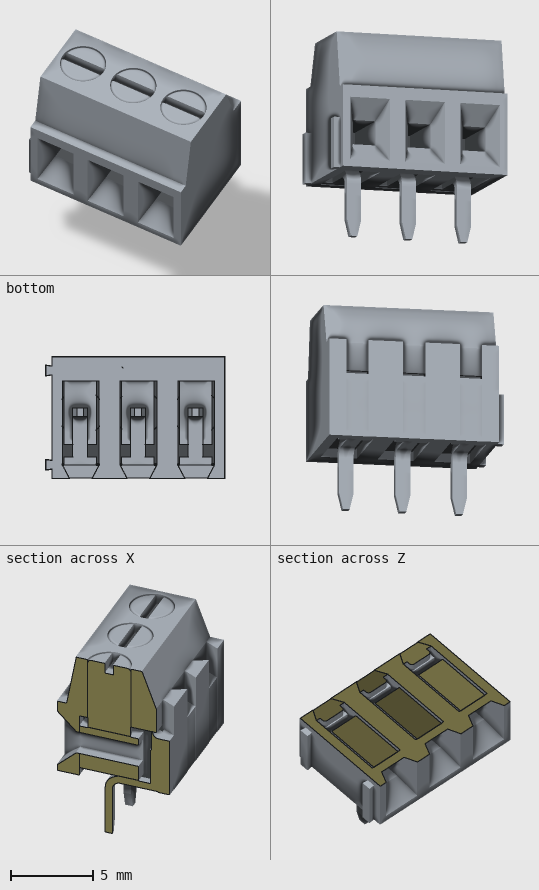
import cadquery as cq
import math


COS_45 = math.sqrt(0.5)

POLE_COUNT = 3
PITCH = 3.5
HOUSING_LENGTH = POLE_COUNT * PITCH
HOUSING_HEIGHT = 8.5
BACK_Y = 4.0
FRONT_Y = -3.4
BACK_LEDGE_Z = 6.0
BACK_LEDGE_DEPTH = 0.9
BACK_TOP_INSET = 1.84
BACK_LEDGE_Y = BACK_Y - BACK_LEDGE_DEPTH
BACK_TOP_Y = BACK_Y - BACK_TOP_INSET
FRONT_LEDGE_Z = 5.03
FRONT_LEDGE_DEPTH = 0.6
FRONT_TOP_INSET = 1.23
FRONT_LEDGE_Y = FRONT_Y + FRONT_LEDGE_DEPTH
FRONT_TOP_Y = FRONT_Y + FRONT_TOP_INSET
POLE_CENTRES = [(i - (POLE_COUNT - 1) / 2) * PITCH for i in range(POLE_COUNT)]

RIB_DEPTH = 0.39
RIB_HEIGHT = 3.1
RIB_OUTER_WIDTH = 0.66
RIB_ROOT_WIDTH = 0.55
RIB_INSET = 0.84

FUNNEL_WIDTH = 2.5
FUNNEL_BOTTOM_Z = 0.44
FUNNEL_TOP_Z = 4.28
FUNNEL_DEPTH = 1.25
PASSAGE_WIDTH = 1.44
PASSAGE_BOTTOM_Z = 1.6
PASSAGE_TOP_Z = 3.09
PASSAGE_LENGTH = 0.22

SCREW_DIAMETER = 2.8
SCREW_RIM_FILLET = 0.22
SCREW_SLOT_WIDTH = 0.55
SCREW_SLOT_DEPTH = 0.7

CAGE_WIDTH = 1.98
CAGE_ROOF = 0.5
CAGE_FRONT_Y = FRONT_Y + FUNNEL_DEPTH + PASSAGE_LENGTH
CAGE_BACK_Y = -CAGE_FRONT_Y
CAGE_TOP_Z = PASSAGE_TOP_Z + CAGE_ROOF

CONTACT_OFFSET = -0.04
CONTACT_THICKNESS = 0.5
PIN_WIDTH = 0.9
PIN_TIP_WIDTH = 0.41
PIN_TAPER = 1.01
PIN_END_Z = -3.7
PIN_FRONT_Y = -0.28
BEND_START_Z = -0.45
BEND_INNER_RADIUS = 0.5
BEND_OUTER_RADIUS = BEND_INNER_RADIUS + CONTACT_THICKNESS
BEND_CENTRE_Y = PIN_FRONT_Y + BEND_OUTER_RADIUS
PLATE_BOTTOM_Z = BEND_START_Z + BEND_INNER_RADIUS
PLATE_TOP_Z = PLATE_BOTTOM_Z + CONTACT_THICKNESS
RISER_WIDTH = 1.98
RISER_TOP_Z = 2.96
TONGUE_WIDTH = 1.61
TONGUE_SETBACK = 0.07
TONGUE_CORNER_FILLET = 0.22
TONGUE_ROOT_RADIUS = 0.38
TONGUE_ROOT_OVERLAP = 0.05
PLUG_TOP_Z = 3.9
TONGUE_TOP_Z = PLUG_TOP_Z + TONGUE_ROOT_RADIUS
PLUG_SETBACK = 0.02
PLUG_BACK_Y = BACK_Y - PLUG_SETBACK

CHAMBER_WIDTH = 2.22
CHAMBER_BACK_Y = 3.18
CHAMBER_TOP_Z = TONGUE_TOP_Z
DOVETAIL_BACK_WIDTH = 1.37
DOVETAIL_FLARE = (CHAMBER_WIDTH - DOVETAIL_BACK_WIDTH) / (BACK_Y - CHAMBER_BACK_Y)
RISER_FRONT_Y = CHAMBER_BACK_Y - CONTACT_THICKNESS


def box(x_middle, width, y_front, y_back, z_bottom, z_top):
    """A block placed by its middle in X and its limits in Y and Z."""
    corner = cq.Vector(x_middle - width / 2, y_front, z_bottom)
    return cq.Workplane(cq.Solid.makeBox(width, y_back - y_front, z_top - z_bottom, corner))


def trapezoid(x_middle, front_width, back_width, y_front, y_back, height):
    """An upright block standing on Z = 0 whose width changes along Y."""
    return (
        cq.Workplane("XY")
        .polyline([
            (x_middle - front_width / 2, y_front),
            (x_middle + front_width / 2, y_front),
            (x_middle + back_width / 2, y_back),
            (x_middle - back_width / 2, y_back),
        ])
        .close()
        .extrude(height)
    )


def housing_block():
    """The stepped and sloped profile, extruded along the row."""
    return (
        cq.Workplane("YZ")
        .polyline([
            (FRONT_Y, 0),
            (BACK_Y, 0),
            (BACK_Y, BACK_LEDGE_Z),
            (BACK_LEDGE_Y, BACK_LEDGE_Z),
            (BACK_TOP_Y, HOUSING_HEIGHT),
            (FRONT_TOP_Y, HOUSING_HEIGHT),
            (FRONT_LEDGE_Y, FRONT_LEDGE_Z),
            (FRONT_Y, FRONT_LEDGE_Z),
        ])
        .close()
        .extrude(HOUSING_LENGTH / 2, both=True)
    )


def rib(y_middle):
    """A dovetail rib on the -X end, wider at its outer face."""
    root_x = -HOUSING_LENGTH / 2
    outer_x = root_x - RIB_DEPTH
    return (
        cq.Workplane("XY")
        .polyline([
            (root_x, y_middle - RIB_ROOT_WIDTH / 2),
            (root_x, y_middle + RIB_ROOT_WIDTH / 2),
            (outer_x, y_middle + RIB_OUTER_WIDTH / 2),
            (outer_x, y_middle - RIB_OUTER_WIDTH / 2),
        ])
        .close()
        .extrude(RIB_HEIGHT)
    )


def wire_entry(x):
    """The funnel narrowing inwards and the passage from it to the cage."""
    funnel_middle_z = (FUNNEL_BOTTOM_Z + FUNNEL_TOP_Z) / 2
    passage_middle_z = (PASSAGE_BOTTOM_Z + PASSAGE_TOP_Z) / 2
    funnel = (
        cq.Workplane("XZ", origin=(x, FRONT_Y, funnel_middle_z))
        .rect(FUNNEL_WIDTH, FUNNEL_TOP_Z - FUNNEL_BOTTOM_Z)
        .workplane(offset=-FUNNEL_DEPTH)
        .center(0, passage_middle_z - funnel_middle_z)
        .rect(PASSAGE_WIDTH, PASSAGE_TOP_Z - PASSAGE_BOTTOM_Z)
        .loft(ruled=True)
    )
    passage_front_y = FRONT_Y + FUNNEL_DEPTH
    passage = box(x, PASSAGE_WIDTH, passage_front_y, CAGE_FRONT_Y, PASSAGE_BOTTOM_Z, PASSAGE_TOP_Z)
    return funnel.union(passage)


def screw_cylinder(x):
    """The full cylinder of a screw, from the cage roof to the top of the housing."""
    return (
        cq.Workplane("XY", origin=(x, 0, CAGE_TOP_Z))
        .circle(SCREW_DIAMETER / 2)
        .extrude(HOUSING_HEIGHT - CAGE_TOP_Z)
    )


def make_housing():
    housing = housing_block()
    for y in (FRONT_Y + RIB_INSET, BACK_Y - RIB_INSET):
        housing = housing.union(rib(y))
    for x in POLE_CENTRES:
        chamber = box(x, CHAMBER_WIDTH, CAGE_FRONT_Y, CHAMBER_BACK_Y, 0, CHAMBER_TOP_Z)
        ledge_gap = box(x, CHAMBER_WIDTH, BACK_LEDGE_Y, CHAMBER_BACK_Y, 0, BACK_LEDGE_Z)
        dovetail = trapezoid(
            x, CHAMBER_WIDTH, DOVETAIL_BACK_WIDTH, CHAMBER_BACK_Y, BACK_Y, BACK_LEDGE_Z
        )
        housing = housing.cut(chamber).cut(ledge_gap).cut(dovetail)
        housing = housing.cut(wire_entry(x)).cut(screw_cylinder(x))
    return housing


def make_screw(x):
    """A round screw with a rounded rim and a driver slot along X."""
    slot_bottom_z = HOUSING_HEIGHT - SCREW_SLOT_DEPTH
    slot = box(
        x, SCREW_DIAMETER, -SCREW_SLOT_WIDTH / 2, SCREW_SLOT_WIDTH / 2, slot_bottom_z, HOUSING_HEIGHT
    )
    return screw_cylinder(x).faces(">Z").edges().fillet(SCREW_RIM_FILLET).cut(slot)


def make_cage(x):
    """A clamp cage, open at front and back, that rests on the contact plate."""
    x_middle = x + CONTACT_OFFSET
    block = box(x_middle, CAGE_WIDTH, CAGE_FRONT_Y, CAGE_BACK_Y, PLATE_TOP_Z, CAGE_TOP_Z)
    window = box(x, PASSAGE_WIDTH, CAGE_FRONT_Y, CAGE_BACK_Y, PASSAGE_BOTTOM_Z, PASSAGE_TOP_Z)
    return block.cut(window)


def contact_strip(x):
    """The pin and the plate it bends into, cut to the pin width with a tapered tip."""
    pin_back_y = PIN_FRONT_Y + CONTACT_THICKNESS
    side_profile = (
        cq.Workplane("YZ", origin=(x, 0, 0))
        .moveTo(PIN_FRONT_Y, PIN_END_Z)
        .lineTo(PIN_FRONT_Y, BEND_START_Z)
        .threePointArc(
            (BEND_CENTRE_Y - BEND_OUTER_RADIUS * COS_45, BEND_START_Z + BEND_OUTER_RADIUS * COS_45),
            (BEND_CENTRE_Y, PLATE_TOP_Z),
        )
        .lineTo(CHAMBER_BACK_Y, PLATE_TOP_Z)
        .lineTo(CHAMBER_BACK_Y, PLATE_BOTTOM_Z)
        .lineTo(BEND_CENTRE_Y, PLATE_BOTTOM_Z)
        .threePointArc(
            (BEND_CENTRE_Y - BEND_INNER_RADIUS * COS_45, BEND_START_Z + BEND_INNER_RADIUS * COS_45),
            (pin_back_y, BEND_START_Z),
        )
        .lineTo(pin_back_y, PIN_END_Z)
        .close()
        .extrude(PIN_WIDTH / 2, both=True)
    )
    taper_start_z = PIN_END_Z + PIN_TAPER
    front_outline = (
        cq.Workplane("XZ", origin=(x, PIN_FRONT_Y, 0))
        .polyline([
            (-PIN_TIP_WIDTH / 2, PIN_END_Z),
            (PIN_TIP_WIDTH / 2, PIN_END_Z),
            (PIN_WIDTH / 2, taper_start_z),
            (PIN_WIDTH / 2, PLATE_TOP_Z),
            (-PIN_WIDTH / 2, PLATE_TOP_Z),
            (-PIN_WIDTH / 2, taper_start_z),
        ])
        .close()
        .extrude(PIN_FRONT_Y - CHAMBER_BACK_Y)
    )
    return side_profile.intersect(front_outline)


def contact_tongue(x):
    """The tongue on the riser: round front corners, and a back that curves into the plug top."""
    front_y = RISER_FRONT_Y + TONGUE_SETBACK
    root_y = CHAMBER_BACK_Y + TONGUE_ROOT_OVERLAP
    top_back_y = root_y - TONGUE_ROOT_RADIUS
    tongue = (
        cq.Workplane("YZ", origin=(x, 0, 0))
        .moveTo(front_y, RISER_TOP_Z)
        .lineTo(root_y, RISER_TOP_Z)
        .lineTo(root_y, PLUG_TOP_Z)
        .threePointArc(
            (
                root_y - TONGUE_ROOT_RADIUS * COS_45,
                TONGUE_TOP_Z - TONGUE_ROOT_RADIUS * COS_45,
            ),
            (top_back_y, TONGUE_TOP_Z),
        )
        .lineTo(front_y, TONGUE_TOP_Z)
        .close()
        .extrude(TONGUE_WIDTH / 2, both=True)
    )
    return tongue.faces("<Y").edges("|Z").fillet(TONGUE_CORNER_FILLET)


def contact_plug(pole_x):
    """The plug that fits the dovetail slot, just short of the back face."""
    back_width = DOVETAIL_BACK_WIDTH + DOVETAIL_FLARE * PLUG_SETBACK
    return trapezoid(pole_x, CHAMBER_WIDTH, back_width, CHAMBER_BACK_Y, PLUG_BACK_Y, PLUG_TOP_Z)


def make_contact(pole_x):
    x = pole_x + CONTACT_OFFSET
    riser = box(x, RISER_WIDTH, RISER_FRONT_Y, CHAMBER_BACK_Y, PLATE_BOTTOM_Z, RISER_TOP_Z)
    return contact_strip(x).union(riser).union(contact_tongue(x)).union(contact_plug(pole_x))


housing = make_housing()
screws = [make_screw(x) for x in POLE_CENTRES]
cages = [make_cage(x) for x in POLE_CENTRES]
contacts = [make_contact(x) for x in POLE_CENTRES]

bodies = [housing, *screws, *cages, *contacts]
result = cq.Compound.makeCompound([body.val() for body in bodies])